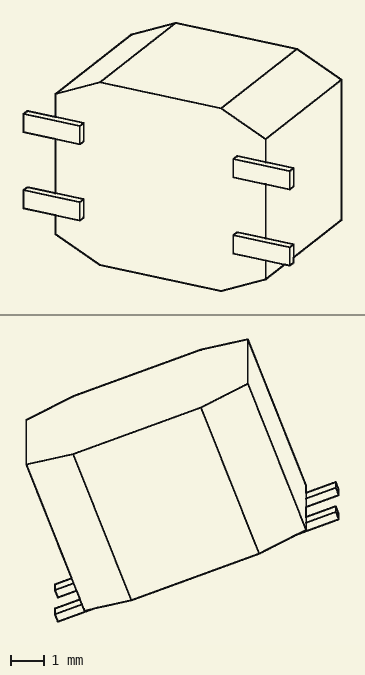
import cadquery as cq

overall_length = 9.0
overall_depth = 5.15
housing_height = 6.0

housing_width = 7.1
top_flat_width = 4.095
side_flat_height = 4.61

lead_length = 1.91
lead_thickness = 0.25
lead_height = 0.6
lead_pitch = 2.5

housing_depth = overall_depth - lead_thickness
lead_center_x = (overall_length - lead_length) / 2


def make_housing():
    """Eight-sided prism with its front face at Y = 0."""
    half_width = housing_width / 2
    half_height = housing_height / 2
    half_top = top_flat_width / 2
    half_side = side_flat_height / 2
    outline = [
        (half_top, half_height),
        (half_width, half_side),
        (half_width, -half_side),
        (half_top, -half_height),
        (-half_top, -half_height),
        (-half_width, -half_side),
        (-half_width, half_side),
        (-half_top, half_height),
    ]
    return cq.Workplane("XZ").polyline(outline).close().extrude(-housing_depth)


def make_lead(center_x, center_z):
    """Flat bar in front of the housing, touching its front face."""
    bar = cq.Workplane("XY").box(lead_length, lead_thickness, lead_height)
    return bar.translate((center_x, -lead_thickness / 2, center_z))


housing = make_housing()

leads = []
for side in (-1, 1):
    for level in (-1, 1):
        lead = make_lead(side * lead_center_x, level * lead_pitch / 2)
        leads.append(lead.val())

result = cq.Compound.makeCompound([housing.val(), *leads])